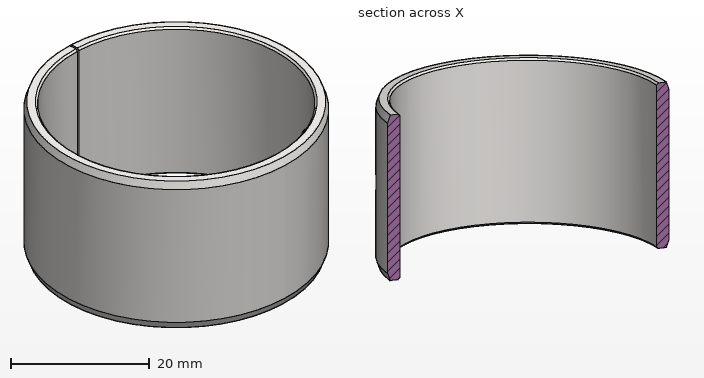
import cadquery as cq

outer_diameter = 44.0
bore_diameter = 40.0
width = 25.0

outer_bevel_height = 1.2
outer_bevel_depth = 0.45
bore_bevel = 0.3

split_gap = 0.3

oil_hole_diameter = 8.0
oil_hole_angle = 59.0

outer_radius = outer_diameter / 2
bore_radius = bore_diameter / 2
half_width = width / 2


def bushing_ring():
    """Revolve the wall section, bevelled at all four corners, about Z."""
    section = [
        (bore_radius, -half_width + bore_bevel),
        (bore_radius + bore_bevel, -half_width),
        (outer_radius - outer_bevel_depth, -half_width),
        (outer_radius, -half_width + outer_bevel_height),
        (outer_radius, half_width - outer_bevel_height),
        (outer_radius - outer_bevel_depth, half_width),
        (bore_radius + bore_bevel, half_width),
        (bore_radius, half_width - bore_bevel),
    ]
    return cq.Workplane("XZ").polyline(section).close().revolve(360, (0, 0), (0, 1))


def split_cutter():
    """Thin slab from the axis out through the -X wall."""
    return cq.Workplane("XY").box(outer_diameter, split_gap, width).translate(
        (-outer_radius, split_gap / 2, 0)
    )


def oil_hole_cutter():
    """Radial cylinder from the axis out through one side of the wall."""
    return (
        cq.Workplane("YZ")
        .circle(oil_hole_diameter / 2)
        .extrude(outer_diameter)
        .rotate((0, 0, 0), (0, 0, 1), oil_hole_angle)
    )


result = bushing_ring().cut(split_cutter()).cut(oil_hole_cutter())